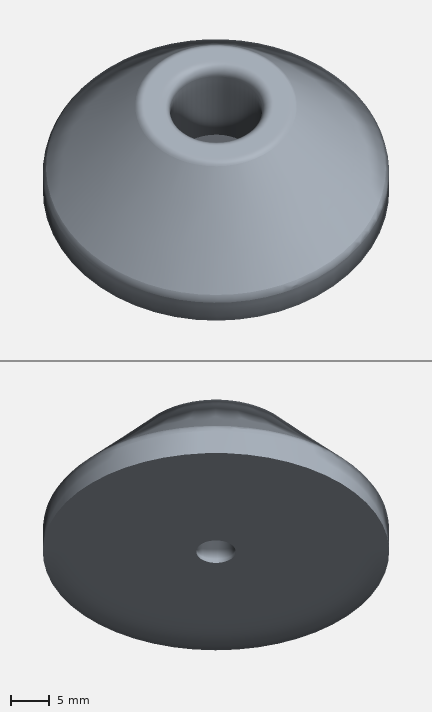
import cadquery as cq

base_radius = 22.22
top_radius = 9.9
height = 17.0
rim_height = 4.1
edge_radius = 1.5

bore_radius = 5.9
through_radius = 2.55
floor_thickness = rim_height


def make_body():
    """Revolve a short cylindrical rim with a cone above it."""
    profile = (
        cq.Workplane("XZ")
        .lineTo(base_radius, 0)
        .lineTo(base_radius, rim_height)
        .lineTo(top_radius, height)
        .lineTo(0, height)
        .close()
    )
    body = profile.revolve(360, (0, 0, 0), (0, 1, 0))
    return body.faces("%CONE").edges("%CIRCLE").fillet(edge_radius)


def cut_stepped_hole(body):
    """Cut the blind bore, round its mouth, then drill through its floor."""
    bored = (
        body.faces(">Z").workplane(origin=(0, 0, height))
        .circle(bore_radius)
        .cutBlind(floor_thickness - height)
    )
    mouth = bored.faces(">Z").edges(cq.selectors.RadiusNthSelector(0))
    rounded = mouth.fillet(edge_radius)
    drill = cq.Workplane("XY").circle(through_radius).extrude(height)
    return rounded.cut(drill)


result = cut_stepped_hole(make_body())